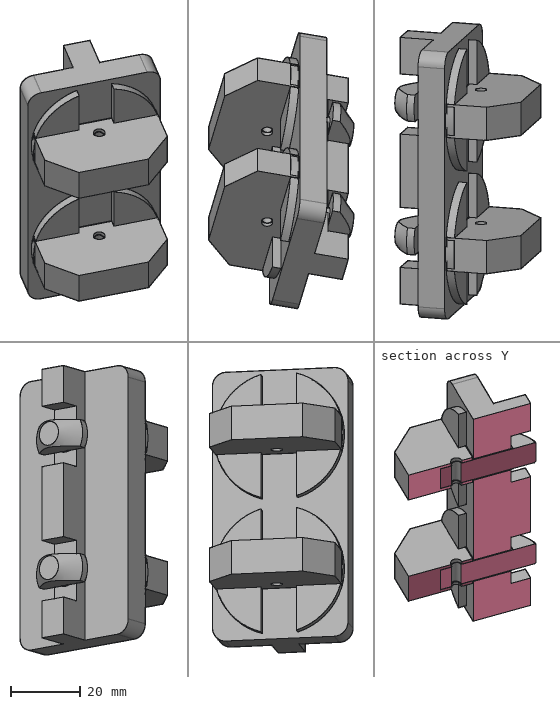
import cadquery as cq


overall_length = 40.0

plate_height = 80.0
plate_width = 40.0
plate_thickness = 8.0
plate_corner_radius = 4.0
rail_width = 8.0
rail_depth = 10.0
notch_height = 18.0
notch_depth = 6.0
station_heights = (-plate_height / 4, plate_height / 4)

shank_diameter = 8.0
shank_clearance = 0.12
clearance_diameter = shank_diameter + 2 * shank_clearance
head_diameter = 17.0
head_nose_diameter = 7.0
head_cone_length = (head_diameter - head_nose_diameter) / 2
head_height = shank_diameter
head_gap = 0.5

disc_diameter = 38.0
disc_thickness = 2.5
disc_floor = 0.25
disc_slot_width = 10.5

handle_length = 20.0
handle_width = 37.0
handle_thickness = 10.0
handle_chamfer = 8.0
socket_depth = 10.0
handle_pin_hole_diameter = 3.3
bolt_pin_hole_diameter = 2.8
pin_hole_offset = socket_depth / 2

plate_front = -plate_thickness
rail_front = plate_front - rail_depth
notch_floor = rail_front + notch_depth
head_back = notch_floor - head_gap
handle_back = disc_floor
handle_end = handle_back + handle_length
head_front = handle_end - overall_length
shank_end = handle_back + socket_depth
pin_hole_x = handle_back + pin_hole_offset


def box(x_start, x_end, width, height, z=0.0):
    """A block between two X positions, centred on Y = 0 and on the given height."""
    block = cq.Workplane("XY").box(x_end - x_start, width, height, centered=(False, True, True))
    return block.translate((x_start, 0, z))


def rod(x_start, x_end, diameter, z):
    """A cylinder along X between two X positions."""
    plane = cq.Workplane("YZ", origin=(x_start, 0, z))
    return plane.circle(diameter / 2).extrude(x_end - x_start)


def pin_hole(diameter, z):
    """A cross hole along Z through the full thickness of a handle."""
    plane = cq.Workplane("XY", origin=(pin_hole_x, 0, z - handle_thickness / 2))
    return plane.circle(diameter / 2).extrude(handle_thickness)


def make_plate():
    """Round-cornered plate with a notched rail and a clearance hole for each bolt."""
    plate = box(plate_front, 0, plate_width, plate_height)
    plate = plate.edges("|X").fillet(plate_corner_radius)
    plate = plate.union(box(rail_front, plate_front, rail_width, plate_height))
    for z in station_heights:
        plate = plate.cut(box(rail_front, notch_floor, rail_width, notch_height, z))
        plate = plate.cut(rod(notch_floor, 0, clearance_diameter, z))
    return plate


def make_bolt(z):
    """T-bolt: a conical head trimmed to flat top and bottom, on a cross-drilled shank."""
    half_profile = [
        (head_front, 0),
        (head_front, head_nose_diameter / 2),
        (head_front + head_cone_length, head_diameter / 2),
        (head_back, head_diameter / 2),
        (head_back, 0),
    ]
    head = cq.Workplane("XY").polyline(half_profile).close()
    head = head.revolve(360, (0, 0, 0), (1, 0, 0)).translate((0, 0, z))
    head = head.intersect(box(head_front, head_back, head_diameter, head_height, z))
    shank = rod(head_back, shank_end, shank_diameter, z)
    return head.union(shank).cut(pin_hole(bolt_pin_hole_diameter, z))


def handle_blank(z):
    """Flat handle block with its two outer corners cut at 45 degrees."""
    block = box(handle_back, handle_end, handle_width, handle_thickness, z)
    return block.edges("|Z and >X").chamfer(handle_chamfer)


def make_handle(z):
    """Handle with a blind socket for the bolt shank and the cross hole."""
    socket = rod(handle_back, shank_end, shank_diameter, z)
    return handle_blank(z).cut(socket).cut(pin_hole(handle_pin_hole_diameter, z))


def make_disc(z):
    """Disc split by a vertical slot; a thin floor under the handle joins its two halves."""
    slot = box(0, disc_thickness, disc_slot_width, disc_diameter, z)
    slot = slot.cut(box(0, disc_floor, disc_slot_width, handle_thickness, z))
    disc = rod(0, disc_thickness, disc_diameter, z)
    disc = disc.cut(slot).cut(handle_blank(z))
    return disc.cut(rod(0, disc_thickness, clearance_diameter, z))


plate = make_plate()
bolts = [make_bolt(z) for z in station_heights]
discs = [make_disc(z) for z in station_heights]
handles = [make_handle(z) for z in station_heights]

bodies = [plate, *bolts, *discs, *handles]
result = cq.Compound.makeCompound([body.solids().val() for body in bodies])